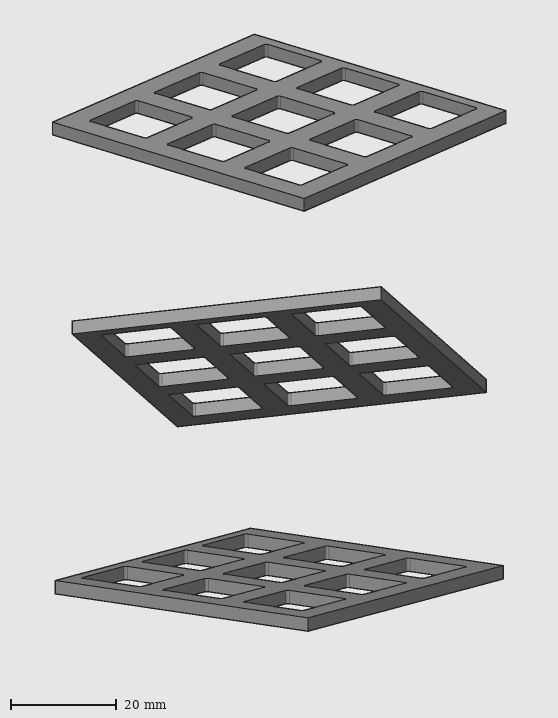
import cadquery as cq

plate_length = 61.9
plate_width = 59.5
plate_thickness = 2.6

openings_per_side = 3
opening_size = 14.0
opening_pitch = 19.05
opening_corner_radius = 0.5

grid_span = (openings_per_side - 1) * opening_pitch + opening_size
side_margin = (plate_length - grid_span) / 2
grid_center_y = -plate_width / 2 + side_margin + grid_span / 2

plate = cq.Workplane("XY").box(plate_length, plate_width, plate_thickness)

openings = (
    cq.Workplane("XY")
    .center(0, grid_center_y)
    .rarray(opening_pitch, opening_pitch, openings_per_side, openings_per_side)
    .rect(opening_size, opening_size)
    .extrude(plate_thickness, both=True)
    .edges("|Z")
    .fillet(opening_corner_radius)
)

result = plate.cut(openings)